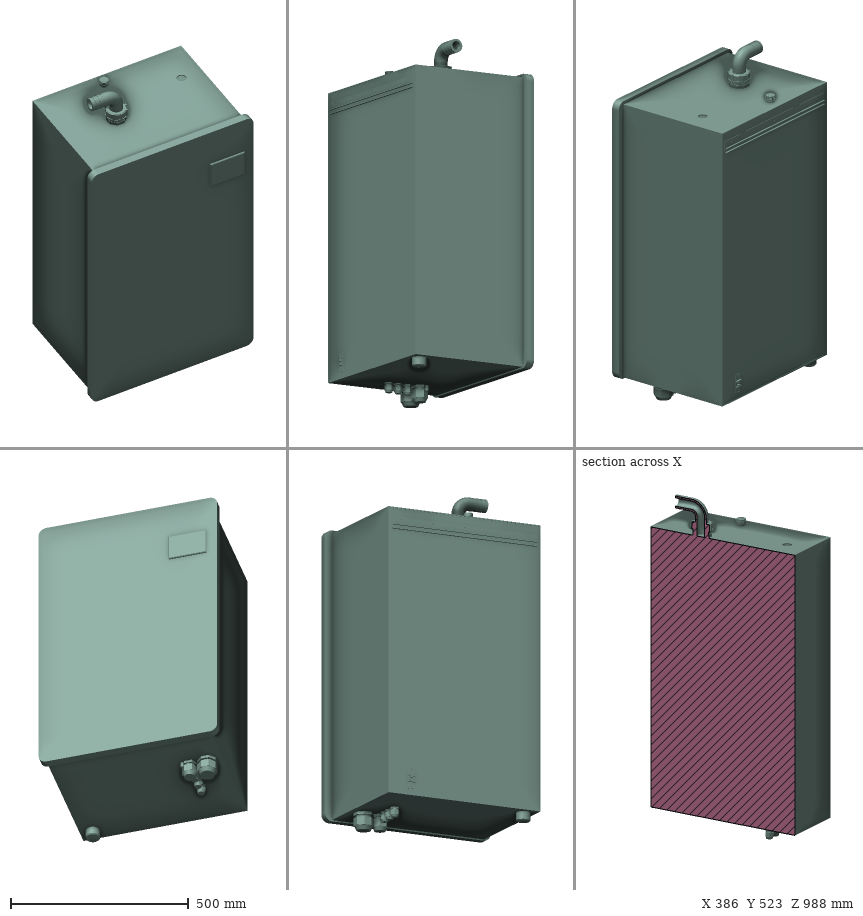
import cadquery as cq
import math


BOX_DEPTH = 352.0
BOX_WIDTH = 480.0
BOX_HEIGHT = 831.0
PANEL_THICKNESS = 3.0
BACK_RIM = 3.0

DOOR_WIDTH = 523.0
DOOR_BOTTOM = -4.0
DOOR_TOP = 841.0
DOOR_THICKNESS = 24.0
DOOR_CORNER_RADIUS = 23.0
DOOR_FACE = BOX_DEPTH + DOOR_THICKNESS
DISPLAY_WIDTH = 111.0
DISPLAY_HEIGHT = 80.0
DISPLAY_THICKNESS = 5.0
DISPLAY_CHAMFER = 2.0
DISPLAY_Y = 176.0
DISPLAY_Z = 685.0

SHEET = 1.0
LIP_DEPTH = 5.0
LIP_THICKNESS = 2.0
RIVET_HOLE_DIAMETER = 5.0

RAIL_WIDTH = 460.0
RAIL_BOTTOM = 768.0
RAIL_TOP = 803.0
RAIL_UPPER_LIP = 781.0
RAIL_CORNER = 4.0
RAIL_HOLE_COUNT = 5
RAIL_HOLE_PITCH = 100.0
RAIL_HOLE_Z = 795.0

BRACKET_WIDTH = 21.0
BRACKET_HEIGHT = 57.0
BRACKET_Y = 168
BRACKET_Z = 47.0
BRACKET_LIP_GAP = 20
BRACKET_TAB_WIDTH = 9.0
BRACKET_TAB_HEIGHT = 7.0
BRACKET_HOLE_SPACING = 47.0

HOSE_X = 183.0
HOSE_Y = -73.0
HOSE_DIAMETER = 39.0
HOSE_BORE = 26.0
HOSE_TOP = 938.0
HOSE_AXIS_Z = HOSE_TOP - HOSE_DIAMETER / 2
HOSE_BEND_RADIUS = 32.0
HOSE_END_Y = -158
HOSE_GROOVE_COUNT = 3
HOSE_GROOVE_WIDTH = 6.0
HOSE_GROOVE_DEPTH = 1.0
HOSE_GROOVE_PITCH = 14.0
HOSE_LAST_GROOVE = 6.0

HEXAGON = 6
OCTAGON = 8

HOSE_BASE_CORNERS = 59
HOSE_NECK_CORNERS = 57.0
HOSE_BASE_HEIGHT = 10
NUT_BOTTOM = 849.0
NUT_TOP = 871.0
NUT_DIAMETER = 60.0
NUT_RIM_DIAMETER = 64.0
NUT_RIM_HEIGHT = 4.0
NUT_CHAMFER = 3.0
NUT_RIB_COUNT = 8
NUT_RIB_WIDTH = 5.0
NUT_RIB_HEIGHT = 2.0

STUD_X = 40
STUD_Y = -32.0
STUD_DIAMETER = 27.0
STUD_HEIGHT = 19.0
STUD_THREAD_DEPTH = 1.5
STUD_THREAD_COUNT = 4
RECESS_X = 122.0
RECESS_Y = 173.0
RECESS_DIAMETER = 28.0

PLUG_X = 35.0
PLUG_Y = -203.0
PLUG_DIAMETER = 41.0
PLUG_LENGTH = 26.0
PLUG_CHAMFER = 3.0

SMALL_GLAND_COUNT = 3
SMALL_GLAND_FIRST_X = 144.0
SMALL_GLAND_PITCH = 31.0
SMALL_GLAND_Y = 147.0
SMALL_GLAND_SIZE = 26.0
SMALL_GLAND_LENGTH = 29.0
MAIN_GLANDS_X = 244.0
MEDIUM_GLAND_Y = 143.0
MEDIUM_GLAND_SIZE = 45.0
MEDIUM_GLAND_LENGTH = 46.0
LARGE_GLAND_Y = 195.0
LARGE_GLAND_SIZE = 58.0
LARGE_GLAND_LENGTH = 50.0

GLAND_FLANGE_END = 0.17
GLAND_NUT_START = 0.3
GLAND_NUT_END = 0.77
GLAND_NECK_WIDTH = 0.75
GLAND_CAP_START_WIDTH = 0.9
GLAND_CAP_END_WIDTH = 0.7

PIN_X = 255.0
PIN_Y = 124.0
PIN_DIAMETER = 11.0
PIN_LENGTH = 16.0


def block(x_min, x_max, y_middle, width, z_min, z_max):
    """Upright block placed by its x and z limits and its middle in y."""
    size = (x_max - x_min, width, z_max - z_min)
    corner = (x_min, y_middle - width / 2, z_min)
    return cq.Workplane("XY").box(*size, centered=False).translate(corner)


def rod(x, y, z_start, length, diameter):
    """Vertical round rod rising from z_start."""
    return cq.Workplane("XY", origin=(x, y, z_start)).circle(diameter / 2).extrude(length)


def prism(x, y, z_start, length, sides, corners):
    """Vertical bar of even-sided regular section, with flat sides facing x."""
    bar = cq.Workplane("XY").polygon(sides, corners).extrude(length)
    return bar.rotate((0, 0, 0), (0, 0, 1), 180 / sides).translate((x, y, z_start))


def back_hole(y, z):
    """Rivet hole that goes through the sheet lying in the back recess."""
    return cq.Workplane("YZ", origin=(0, y, z)).circle(RIVET_HOLE_DIAMETER / 2).extrude(SHEET)


def make_cabinet():
    box = block(0, BOX_DEPTH, 0, BOX_WIDTH, 0, BOX_HEIGHT)
    back_recess = block(0, SHEET, 0, BOX_WIDTH - 2 * BACK_RIM, BACK_RIM, BOX_HEIGHT - BACK_RIM)
    box = box.cut(back_recess)
    door = block(BOX_DEPTH, DOOR_FACE, 0, DOOR_WIDTH, DOOR_BOTTOM, DOOR_TOP)
    door = door.edges("|X").fillet(DOOR_CORNER_RADIUS)
    display = block(
        DOOR_FACE, DOOR_FACE + DISPLAY_THICKNESS,
        DISPLAY_Y, DISPLAY_WIDTH,
        DISPLAY_Z - DISPLAY_HEIGHT / 2, DISPLAY_Z + DISPLAY_HEIGHT / 2,
    )
    display = display.faces(">X").chamfer(DISPLAY_CHAMFER)
    recess = rod(RECESS_X, RECESS_Y, BOX_HEIGHT - PANEL_THICKNESS, PANEL_THICKNESS, RECESS_DIAMETER)
    return box.cut(recess).union(door).union(display)


def make_rail():
    """Flat strip with rivet holes along its top and two lips that form an open channel."""
    rail = block(0, SHEET, 0, RAIL_WIDTH, RAIL_BOTTOM, RAIL_TOP)
    rail = rail.edges("|X").chamfer(RAIL_CORNER)
    lip_width = RAIL_WIDTH - 2 * RAIL_CORNER
    for lip_bottom in (RAIL_BOTTOM, RAIL_UPPER_LIP - LIP_THICKNESS):
        rail = rail.union(block(-LIP_DEPTH, SHEET, 0, lip_width, lip_bottom, lip_bottom + LIP_THICKNESS))
    for i in range(RAIL_HOLE_COUNT):
        hole_y = (i - (RAIL_HOLE_COUNT - 1) / 2) * RAIL_HOLE_PITCH
        rail = rail.cut(back_hole(hole_y, RAIL_HOLE_Z))
    return rail


def make_bracket():
    """Small plate with two facing lips, each backed by a narrow tab on its inner side."""
    half_height = BRACKET_HEIGHT / 2
    half_gap = BRACKET_LIP_GAP / 2
    bracket = block(0, SHEET, BRACKET_Y, BRACKET_WIDTH, BRACKET_Z - half_height, BRACKET_Z + half_height)
    upper_lip = block(
        -LIP_DEPTH, SHEET, BRACKET_Y, BRACKET_WIDTH,
        BRACKET_Z + half_gap - LIP_THICKNESS, BRACKET_Z + half_gap,
    )
    upper_tab = block(
        -LIP_DEPTH, SHEET, BRACKET_Y, BRACKET_TAB_WIDTH,
        BRACKET_Z + half_gap - BRACKET_TAB_HEIGHT, BRACKET_Z + half_gap,
    )
    upper = upper_lip.union(upper_tab)
    lower = upper.mirror("XY", (0, 0, BRACKET_Z))
    bracket = bracket.union(upper).union(lower)
    for side in (-1, 1):
        bracket = bracket.cut(back_hole(BRACKET_Y, BRACKET_Z + side * BRACKET_HOLE_SPACING / 2))
    return bracket


def bent_rod(diameter):
    """Round rod that rises from the roof and turns by a quarter circle toward -y."""
    bend_start_z = HOSE_AXIS_Z - HOSE_BEND_RADIUS
    arc_offset = HOSE_BEND_RADIUS * (1 - math.sqrt(0.5))
    path = (
        cq.Workplane("YZ", origin=(HOSE_X, 0, 0))
        .moveTo(HOSE_Y, BOX_HEIGHT)
        .lineTo(HOSE_Y, bend_start_z)
        .threePointArc(
            (HOSE_Y - arc_offset, HOSE_AXIS_Z - arc_offset),
            (HOSE_Y - HOSE_BEND_RADIUS, HOSE_AXIS_Z),
        )
        .lineTo(HOSE_END_Y, HOSE_AXIS_Z)
    )
    profile = cq.Workplane("XY", origin=(HOSE_X, HOSE_Y, BOX_HEIGHT)).circle(diameter / 2)
    return profile.sweep(path)


def make_hose_fitting():
    fitting = bent_rod(HOSE_DIAMETER)
    for i in range(HOSE_GROOVE_COUNT):
        groove_y = HOSE_END_Y + HOSE_LAST_GROOVE + i * HOSE_GROOVE_PITCH
        groove = (
            cq.Workplane("XZ", origin=(HOSE_X, groove_y, HOSE_AXIS_Z))
            .circle(HOSE_DIAMETER)
            .circle(HOSE_DIAMETER / 2 - HOSE_GROOVE_DEPTH)
            .extrude(-HOSE_GROOVE_WIDTH)
        )
        fitting = fitting.cut(groove)

    neck_height = NUT_BOTTOM - BOX_HEIGHT
    fitting = fitting.union(prism(HOSE_X, HOSE_Y, BOX_HEIGHT, HOSE_BASE_HEIGHT, OCTAGON, HOSE_BASE_CORNERS))
    fitting = fitting.union(prism(HOSE_X, HOSE_Y, BOX_HEIGHT, neck_height, OCTAGON, HOSE_NECK_CORNERS))

    nut = rod(HOSE_X, HOSE_Y, NUT_BOTTOM, NUT_TOP - NUT_BOTTOM, NUT_DIAMETER)
    nut = nut.faces(">Z").chamfer(NUT_CHAMFER)
    nut = nut.union(rod(HOSE_X, HOSE_Y, NUT_BOTTOM, NUT_RIM_HEIGHT, NUT_RIM_DIAMETER))
    rib_reach = NUT_DIAMETER / 2 + NUT_RIB_HEIGHT
    for i in range(NUT_RIB_COUNT):
        rib = block(0, rib_reach, 0, NUT_RIB_WIDTH, NUT_BOTTOM, NUT_TOP)
        rib = rib.rotate((0, 0, 0), (0, 0, 1), i * 360 / NUT_RIB_COUNT)
        nut = nut.union(rib.translate((HOSE_X, HOSE_Y, 0)))
    return fitting.union(nut).cut(bent_rod(HOSE_BORE))


def make_stud():
    """Round stud with ring grooves that stand in for its thread."""
    stud = rod(STUD_X, STUD_Y, BOX_HEIGHT, STUD_HEIGHT, STUD_DIAMETER)
    pitch = STUD_HEIGHT / STUD_THREAD_COUNT
    ring = rod(STUD_X, STUD_Y, BOX_HEIGHT, pitch / 2, STUD_DIAMETER)
    ring = ring.cut(rod(STUD_X, STUD_Y, BOX_HEIGHT, pitch / 2, STUD_DIAMETER - 2 * STUD_THREAD_DEPTH))
    for i in range(STUD_THREAD_COUNT):
        stud = stud.cut(ring.translate((0, 0, i * pitch)))
    return stud


def make_plug():
    plug = rod(PLUG_X, PLUG_Y, -PLUG_LENGTH, PLUG_LENGTH, PLUG_DIAMETER)
    return plug.faces("<Z").chamfer(PLUG_CHAMFER)


def make_gland(x, y, size, length, sides=HEXAGON):
    """Cable gland hanging from the floor: flange, round neck, nut and tapered cap."""
    flange_bottom = -GLAND_FLANGE_END * length
    nut_top = -GLAND_NUT_START * length
    nut_bottom = -GLAND_NUT_END * length
    gland = prism(x, y, flange_bottom, -flange_bottom, sides, size)
    gland = gland.union(rod(x, y, nut_top, -nut_top, GLAND_NECK_WIDTH * size))
    gland = gland.union(prism(x, y, nut_bottom, nut_top - nut_bottom, sides, size))
    cap = (
        cq.Workplane("XY", origin=(x, y, nut_bottom))
        .circle(GLAND_CAP_START_WIDTH * size / 2)
        .workplane(offset=-length - nut_bottom)
        .circle(GLAND_CAP_END_WIDTH * size / 2)
        .loft()
    )
    return gland.union(cap)


def make_glands():
    glands = make_gland(MAIN_GLANDS_X, LARGE_GLAND_Y, LARGE_GLAND_SIZE, LARGE_GLAND_LENGTH, OCTAGON)
    glands = glands.union(
        make_gland(MAIN_GLANDS_X, MEDIUM_GLAND_Y, MEDIUM_GLAND_SIZE, MEDIUM_GLAND_LENGTH)
    )
    for i in range(SMALL_GLAND_COUNT):
        x = SMALL_GLAND_FIRST_X + i * SMALL_GLAND_PITCH
        glands = glands.union(make_gland(x, SMALL_GLAND_Y, SMALL_GLAND_SIZE, SMALL_GLAND_LENGTH))
    return glands


features = [
    make_rail(),
    make_bracket(),
    make_hose_fitting(),
    make_stud(),
    make_plug(),
    make_glands(),
    rod(PIN_X, PIN_Y, -PIN_LENGTH, PIN_LENGTH, PIN_DIAMETER),
]
result = make_cabinet()
for feature in features:
    result = result.union(feature)